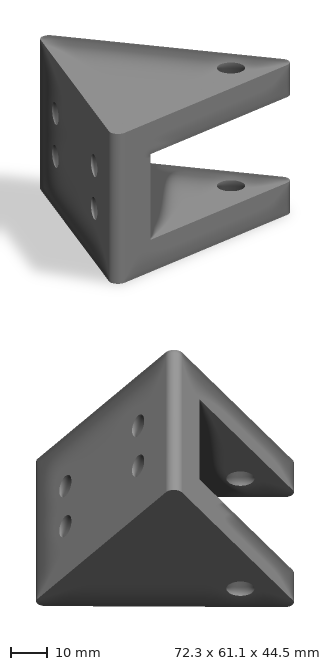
import cadquery as cq

base_width = 76.2
body_depth = 63.5
body_height = 44.45
corner_radius = 2.54

wall_thickness = 12.7
slot_height = 25.4

mount_hole_diameter = 6.35
mount_spacing_x = 38.1
mount_spacing_z = 12.7
mount_lower_row_z = 15.74
mount_center_z = mount_lower_row_z + mount_spacing_z / 2

pin_hole_diameter = 7.7
pin_hole_y = 44.45


def make_body():
    """Triangular prism with its flat base on the XZ plane and rounded vertical edges."""
    corners = [
        (-base_width / 2, 0),
        (base_width / 2, 0),
        (0, body_depth),
    ]
    prism = cq.Workplane("XY").polyline(corners).close().extrude(body_height)
    return prism.edges("|Z").fillet(corner_radius)


def make_slot():
    """Box open toward the apex and both slanted sides."""
    slot_bottom = (body_height - slot_height) / 2
    return (
        cq.Workplane("XY")
        .box(base_width, body_depth, slot_height, centered=(True, False, False))
        .translate((0, wall_thickness, slot_bottom))
    )


def make_mount_holes():
    """Two by two pattern of cylinders along Y, as deep as the wall."""
    return (
        cq.Workplane("XZ", origin=(0, 0, mount_center_z))
        .rarray(mount_spacing_x, mount_spacing_z, 2, 2)
        .circle(mount_hole_diameter / 2)
        .extrude(-wall_thickness)
    )


def make_pin_hole():
    """Vertical cylinder through the full height."""
    return (
        cq.Workplane("XY")
        .center(0, pin_hole_y)
        .circle(pin_hole_diameter / 2)
        .extrude(body_height)
    )


result = (
    make_body()
    .cut(make_slot())
    .cut(make_mount_holes())
    .cut(make_pin_hole())
)